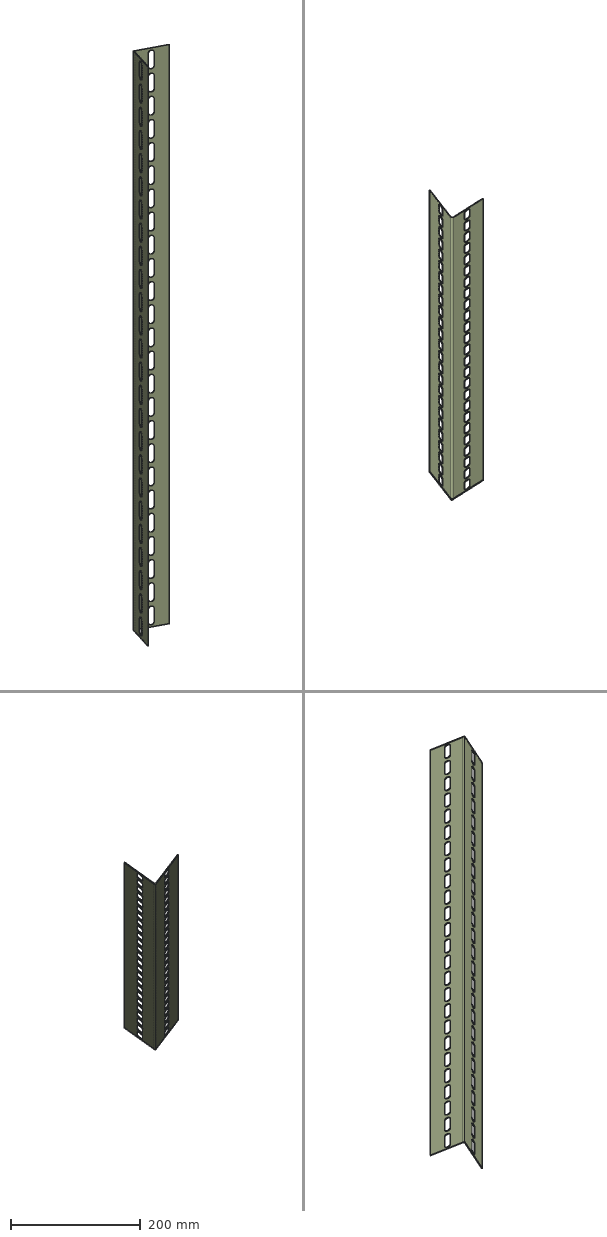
import cadquery as cq

length = 1000.0
flange_width = 60.0
thickness = 1.5
inner_radius = 3.0

slot_count = 25
slot_length = 32.0
slot_width = 10.0
slot_pitch = length / slot_count
row_offset = flange_width / 2


def angle_bar():
    """L-shaped bar with flanges along +X and +Y, standing on Z = 0."""
    arc_end = thickness + inner_radius
    return (
        cq.Workplane("XY")
        .moveTo(0, 0)
        .lineTo(flange_width, 0)
        .lineTo(flange_width, thickness)
        .lineTo(arc_end, thickness)
        .radiusArc((thickness, arc_end), inner_radius)
        .lineTo(thickness, flange_width)
        .lineTo(0, flange_width)
        .close()
        .extrude(length)
    )


def slot_row(plane_name, depth):
    """Slot cutters for one flange; the sign of depth sets the cutting direction."""
    centers = [(row_offset, (i + 0.5) * slot_pitch) for i in range(slot_count)]
    return (
        cq.Workplane(plane_name)
        .pushPoints(centers)
        .slot2D(slot_length, slot_width, angle=90)
        .extrude(depth)
    )


x_flange_slots = slot_row("XZ", -thickness)
y_flange_slots = slot_row("YZ", thickness)

result = angle_bar().cut(x_flange_slots).cut(y_flange_slots)